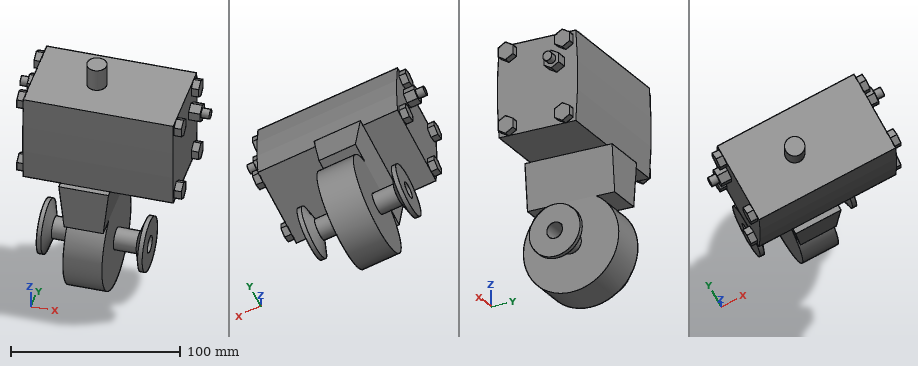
import cadquery as cq
import math


disc_diameter = 64
disc_width = 24
pipe_diameter = 13.8
bore_diameter = 10.5
flange_diameter = 34
flange_rim_width = 2.85
flange_cone_width = 3.65
face_to_face = 65

bracket_bottom_z = 27
bracket_height = 30
bracket_top_width = 30.5
bracket_depth = 58.5
bracket_top_z = bracket_bottom_z + bracket_height

body_length = 92
body_offset_x = 8
body_height = 59
body_end_depth = 51.5
body_middle_depth = 53.7
body_middle_height = 18.6
body_top_z = bracket_top_z + body_height
body_middle_z = bracket_top_z + body_height / 2

shaft_diameter = 12
shaft_height = 15

hex_sides = 6
hex_across_flats = 10
hex_across_corners = hex_across_flats / math.cos(math.pi / hex_sides)
bolt_head_height = 4.5
bolt_spacing_y = 38
bolt_spacing_z = 48
port_y = 13
port_drop = 19
port_z = body_top_z - port_drop
port_hex_height = 7
port_tube_diameter = 6
port_tube_length = 5
end_face_x = body_offset_x + body_length / 2


def make_valve_disc():
    return cq.Workplane("YZ").circle(disc_diameter / 2).extrude(disc_width / 2, both=True)


def make_ferrules():
    """Both pipe stubs with their conical clamp flanges, revolved about X."""
    face_x = face_to_face / 2
    rim_x = face_x - flange_rim_width
    cone_x = rim_x - flange_cone_width
    pipe_radius = pipe_diameter / 2
    flange_radius = flange_diameter / 2
    stub = (
        cq.Workplane("XZ")
        .moveTo(0, 0)
        .lineTo(0, pipe_radius)
        .lineTo(cone_x, pipe_radius)
        .lineTo(rim_x, flange_radius)
        .lineTo(face_x, flange_radius)
        .lineTo(face_x, 0)
        .close()
        .revolve(360, (0, 0, 0), (1, 0, 0))
    )
    return stub.union(stub.mirror("YZ"))


def make_bracket():
    """Block that tapers from the actuator down to the width of the valve disc."""
    return (
        cq.Workplane("XZ")
        .moveTo(-disc_width / 2, bracket_bottom_z)
        .lineTo(disc_width / 2, bracket_bottom_z)
        .lineTo(bracket_top_width / 2, bracket_top_z)
        .lineTo(-bracket_top_width / 2, bracket_top_z)
        .close()
        .extrude(bracket_depth / 2, both=True)
    )


def make_body():
    end_y = body_end_depth / 2
    middle_y = body_middle_depth / 2
    end_z = body_height / 2
    middle_z = body_middle_height / 2
    section = [
        (-end_y, -end_z),
        (end_y, -end_z),
        (middle_y, -middle_z),
        (middle_y, middle_z),
        (end_y, end_z),
        (-end_y, end_z),
        (-middle_y, middle_z),
        (-middle_y, -middle_z),
    ]
    return (
        cq.Workplane("YZ")
        .polyline(section)
        .close()
        .extrude(body_length / 2, both=True)
        .translate((body_offset_x, 0, body_middle_z))
    )


def make_shaft():
    return (
        cq.Workplane("XY", origin=(0, 0, body_top_z))
        .circle(shaft_diameter / 2)
        .extrude(shaft_height)
    )


def make_hexagon(y, z, height):
    """Hexagonal prism with corners up and down, rising along +X from the +X end face."""
    corner_radius = hex_across_corners / 2
    corners = []
    for index in range(hex_sides):
        angle = math.pi / 2 + index * 2 * math.pi / hex_sides
        corners.append((corner_radius * math.cos(angle), corner_radius * math.sin(angle)))
    return cq.Workplane("YZ", origin=(end_face_x, y, z)).polyline(corners).close().extrude(height)


def make_end_fittings():
    """Four bolt heads and one air port on the +X end face."""
    port_length = port_hex_height + port_tube_length
    fittings = make_hexagon(port_y, port_z, port_hex_height)
    tube = (
        cq.Workplane("YZ", origin=(end_face_x, port_y, port_z))
        .circle(port_tube_diameter / 2)
        .extrude(port_length)
    )
    fittings = fittings.union(tube)
    for side_y in (-1, 1):
        for side_z in (-1, 1):
            y = side_y * bolt_spacing_y / 2
            z = body_middle_z + side_z * bolt_spacing_z / 2
            fittings = fittings.union(make_hexagon(y, z, bolt_head_height))
    return fittings


def make_bore():
    return cq.Workplane("YZ").circle(bore_diameter / 2).extrude(face_to_face / 2, both=True)


right_fittings = make_end_fittings()
left_fittings = right_fittings.mirror("YZ", (body_offset_x, 0, 0))

result = (
    make_body()
    .union(make_shaft())
    .union(right_fittings)
    .union(left_fittings)
    .union(make_bracket())
    .union(make_valve_disc())
    .union(make_ferrules())
    .cut(make_bore())
)